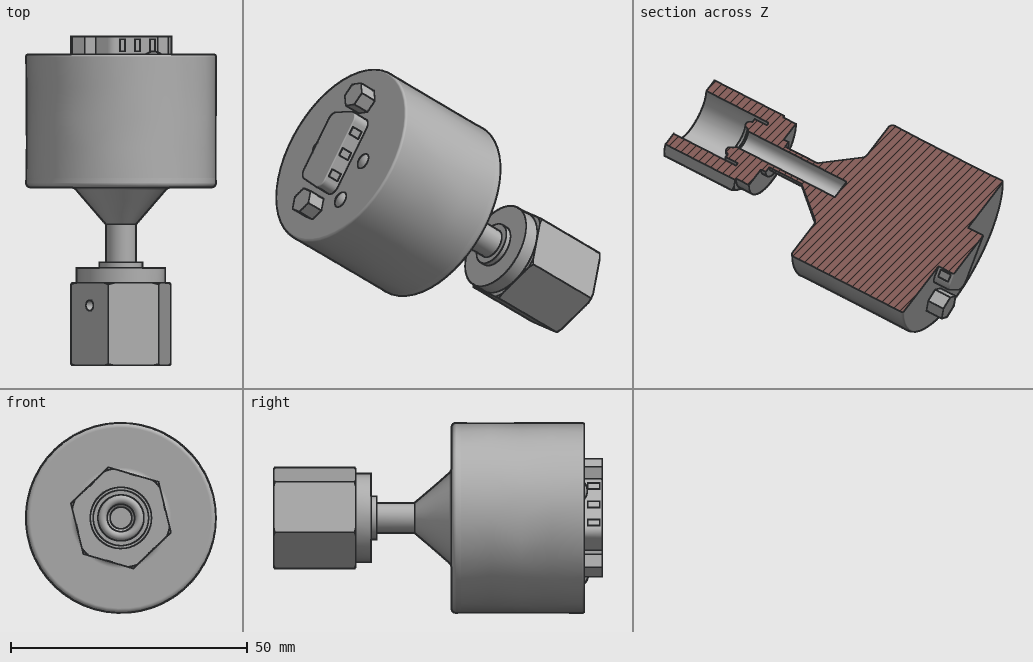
import cadquery as cq
import math


housing_radius = 20.1
housing_seam_radius = 20.05
housing_length = 28.1
cap_seam_y = 2.0
front_edge_radius = 1.0
rear_edge_radius = 0.5

cone_root_radius = 10.6
cone_root_fillet = 1.5
cone_half_angle = 40.8
tube_radius = 3.2

nut_length = 20.6
nut_front_y = -37.55
nut_hex_length = 17.4
nut_flats = 19.05
nut_collar_radius = 9.4
nut_bore_radius = 6.47
nut_bore_depth = 15.5
nut_corner_trim_radial = 0.55
nut_corner_trim_axial = 0.3
nut_corner_angle = 43.8
test_hole_diameter = 2.2
test_hole_offset = 12.65

gland_collar_radius = 4.6
gland_collar_length = 1.2
gland_flange_radius = 5.85
gland_flange_length = 3.0
bead_outer_radius = 4.87
bead_inner_radius = 2.9
gland_bore_radius = 2.3

connector_height = 3.8
connector_angle = 129.5
shell_half_width = 4.58
shell_corner_radius = 1.93
shell_half_length = 6.46
shell_slant = 10.0
shell_edge_radius = 0.25
window_pitch = 5.0
window_width = 1.7
window_height = 2.5
window_depth = 0.1
window_top_gap = 0.6
jackscrew_spacing = 25.0
jackscrew_flats = 5.0
upper_jackscrew_corner_angle = 24.0
lower_jackscrew_corner_angle = nut_corner_angle

side_dome_offset = 8.96
side_dome_radius = 1.7
side_dome_height = 0.6
lower_dome_z = -12.07
lower_dome_radius = 1.75
lower_dome_height = 0.8

nut_rear_y = nut_front_y + nut_length
hex_rear_y = nut_front_y + nut_hex_length
nut_floor_y = nut_front_y + nut_bore_depth
gland_face_y = nut_floor_y - gland_flange_length
gland_rear_y = nut_rear_y + gland_collar_length
shell_middle_y = housing_length + connector_height - window_top_gap - window_height / 2


def revolve_profile(profile):
    """Turn a closed (radius, y) profile about the Y axis."""
    return profile.close().revolve(360, (0, 0, 0), (0, 1, 0))


def disc(radius, y_start, y_end):
    return revolve_profile(
        cq.Workplane("XY").moveTo(0, y_start).lineTo(radius, y_start).lineTo(radius, y_end).lineTo(0, y_end)
    )


def hex_prism(flats, corner_angle, y_start, y_end):
    """Hexagonal bar along Y; corner_angle is measured from +X toward +Z."""
    corner_diameter = flats / math.cos(math.radians(30))
    bar = cq.Workplane("XZ").polygon(6, corner_diameter).extrude(-(y_end - y_start))
    return bar.rotate((0, 0, 0), (0, 1, 0), -corner_angle).translate((0, y_start, 0))


def make_housing():
    """Barrel with rounded end edges, tapering very slightly to a seam behind the front cap."""
    front = front_edge_radius
    rear = rear_edge_radius
    diagonal = math.sqrt(0.5)
    profile = (
        cq.Workplane("XY")
        .moveTo(0, 0)
        .lineTo(housing_radius - front, 0)
        .threePointArc(
            (housing_radius - front * (1 - diagonal), front * (1 - diagonal)),
            (housing_radius, front),
        )
        .lineTo(housing_seam_radius, cap_seam_y)
        .lineTo(housing_radius, housing_length - rear)
        .threePointArc(
            (housing_radius - rear * (1 - diagonal), housing_length - rear * (1 - diagonal)),
            (housing_radius - rear, housing_length),
        )
        .lineTo(0, housing_length)
    )
    return revolve_profile(profile)


def make_neck():
    """Cone with a rounded root, continuing as the tube up to the gland."""
    half_angle = math.radians(cone_half_angle)
    middle_angle = (half_angle + math.pi / 2) / 2

    def fillet_point(angle):
        radius = cone_root_radius - cone_root_fillet * math.cos(angle)
        return (radius, cone_root_fillet * (math.sin(angle) - 1))

    cone_start_radius, cone_start_y = fillet_point(half_angle)
    cone_end_y = cone_start_y - (cone_start_radius - tube_radius) / math.tan(half_angle)
    profile = (
        cq.Workplane("XY")
        .moveTo(0, 0)
        .lineTo(cone_root_radius, 0)
        .threePointArc(fillet_point(middle_angle), (cone_start_radius, cone_start_y))
        .lineTo(tube_radius, cone_end_y)
        .lineTo(tube_radius, gland_rear_y)
        .lineTo(0, gland_rear_y)
    )
    return revolve_profile(profile)


def make_nut():
    """Hexagonal nut with a round collar, lightly trimmed corners, a bore and a leak-test hole."""
    corner_radius = nut_flats / 2 / math.cos(math.radians(30))
    hexagon = hex_prism(nut_flats, nut_corner_angle, nut_front_y, hex_rear_y)
    face_radius = corner_radius - nut_corner_trim_radial
    trim = revolve_profile(
        cq.Workplane("XY")
        .moveTo(0, nut_front_y)
        .lineTo(face_radius, nut_front_y)
        .lineTo(corner_radius, nut_front_y + nut_corner_trim_axial)
        .lineTo(corner_radius, hex_rear_y - nut_corner_trim_axial)
        .lineTo(face_radius, hex_rear_y)
        .lineTo(0, hex_rear_y)
    )
    nut = hexagon.intersect(trim).union(disc(nut_collar_radius, hex_rear_y, nut_rear_y))
    nut = nut.cut(disc(nut_bore_radius, nut_front_y, nut_floor_y))

    hole_angle = math.radians(nut_corner_angle + 90)
    hole = cq.Solid.makeCylinder(
        test_hole_diameter / 2,
        nut_flats,
        cq.Vector(0, nut_front_y + test_hole_offset, 0),
        cq.Vector(math.cos(hole_angle), 0, math.sin(hole_angle)),
    )
    return nut.cut(cq.Workplane(hole))


def make_gland():
    """Gland collar and flange with a raised sealing bead on the front."""
    bead_middle_radius = (bead_outer_radius + bead_inner_radius) / 2
    bead_height = (bead_outer_radius - bead_inner_radius) / 2
    profile = (
        cq.Workplane("XY")
        .moveTo(0, gland_face_y)
        .lineTo(bead_inner_radius, gland_face_y)
        .threePointArc((bead_middle_radius, gland_face_y - bead_height), (bead_outer_radius, gland_face_y))
        .lineTo(gland_flange_radius, gland_face_y)
        .lineTo(gland_flange_radius, nut_floor_y)
        .lineTo(gland_collar_radius, nut_floor_y)
        .lineTo(gland_collar_radius, gland_rear_y)
        .lineTo(0, gland_rear_y)
    )
    return revolve_profile(profile)


def make_gland_bore():
    """Blind passage from the gland face to the housing, with a bevelled mouth."""
    bevel = bead_inner_radius - gland_bore_radius
    profile = (
        cq.Workplane("XY")
        .moveTo(0, gland_face_y)
        .lineTo(bead_inner_radius, gland_face_y)
        .lineTo(gland_bore_radius, gland_face_y + bevel)
        .lineTo(gland_bore_radius, 0)
        .lineTo(0, 0)
    )
    return revolve_profile(profile)


def make_shell():
    """D-shaped block, long direction along X and wide side toward -Z, with three windows per long side."""
    slant_shift = shell_half_width * math.tan(math.radians(shell_slant))
    end_half_length = shell_half_length + shell_corner_radius / math.cos(math.radians(shell_slant))
    wide = end_half_length + slant_shift
    narrow = end_half_length - slant_shift
    shell = (
        cq.Workplane("XZ", origin=(0, housing_length, 0))
        .polyline(
            [
                (-wide, -shell_half_width),
                (wide, -shell_half_width),
                (narrow, shell_half_width),
                (-narrow, shell_half_width),
            ]
        )
        .close()
        .extrude(-connector_height)
        .edges("|Y")
        .fillet(shell_corner_radius)
        .faces(">Y")
        .edges()
        .fillet(shell_edge_radius)
    )
    for side in (-1, 1):
        for position in (-1, 0, 1):
            window = cq.Workplane("XY").box(window_width, window_height, 2 * window_depth)
            shell = shell.cut(
                window.translate((position * window_pitch, shell_middle_y, side * shell_half_width))
            )
    return shell


def make_connector():
    """Shell turned to the connector angle, with a hexagonal jackscrew beyond each end."""
    turn = 180 - connector_angle
    connector = make_shell().rotate((0, 0, 0), (0, 1, 0), turn)
    direction = math.radians(connector_angle)
    jackscrews = ((1, upper_jackscrew_corner_angle), (-1, lower_jackscrew_corner_angle))
    for end, corner_angle in jackscrews:
        reach = end * jackscrew_spacing / 2
        screw = hex_prism(jackscrew_flats, corner_angle, housing_length, housing_length + connector_height)
        connector = connector.union(
            screw.translate((reach * math.cos(direction), 0, reach * math.sin(direction)))
        )
    return connector


def make_dome(x, z, radius, height):
    """Spherical button standing on the rear face of the housing."""
    profile = (
        cq.Workplane("XY")
        .moveTo(0, housing_length)
        .lineTo(radius, housing_length)
        .radiusArc((0, housing_length + height), -(radius**2 + height**2) / (2 * height))
    )
    return revolve_profile(profile).translate((x, 0, z))


body = make_housing().union(make_neck()).union(make_nut()).union(make_gland())
body = body.cut(make_gland_bore()).union(make_connector())

across_angle = math.radians(connector_angle - 90)
for side in (-1, 1):
    dome_x = side * side_dome_offset * math.cos(across_angle)
    dome_z = side * side_dome_offset * math.sin(across_angle)
    body = body.union(make_dome(dome_x, dome_z, side_dome_radius, side_dome_height))
body = body.union(make_dome(0, lower_dome_z, lower_dome_radius, lower_dome_height))

result = body